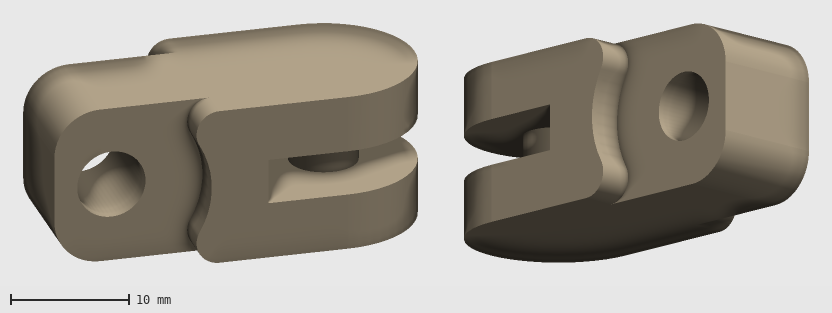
import cadquery as cq
import math

width = 16.0
height = 14.0
pitch = 20.0
fork_radius = width / 2

tongue_width = 10.0
tongue_reach = 5.0
tongue_corner_radius = 4.0
hole_diameter = 6.0

clearance_radius = 8.0
nose_radius = 2.0

slot_height = 4.0
slot_depth = 15.0
pin_diameter = 6.0

fork_end = pitch + fork_radius
half_height = height / 2


def extrude_across(profile, span):
    """Extrude a YZ profile along X, centred on the middle plane."""
    return profile.extrude(span / 2, both=True)


def make_tongue():
    """Central bar from the tongue tip to the pin axis, tip corners rounded."""
    length = tongue_reach + pitch
    return (
        cq.Workplane("XY")
        .box(tongue_width, length, height)
        .translate((0, length / 2 - tongue_reach, 0))
        .edges("|X and <Y")
        .fillet(tongue_corner_radius)
    )


def make_body():
    """Full-width body, round at the fork end, with shoulders curved around the hole axis."""
    nose_z = half_height - nose_radius
    centre_distance = clearance_radius + nose_radius
    nose_y = math.sqrt(centre_distance**2 - nose_z**2)
    tangent_y = nose_y * clearance_radius / centre_distance
    tangent_z = nose_z * clearance_radius / centre_distance
    nose_tip_y = nose_y - nose_radius

    profile = (
        cq.Workplane("YZ")
        .moveTo(pitch, half_height)
        .lineTo(nose_y, half_height)
        .threePointArc((nose_tip_y, nose_z), (tangent_y, tangent_z))
        .threePointArc((clearance_radius, 0), (tangent_y, -tangent_z))
        .threePointArc((nose_tip_y, -nose_z), (nose_y, -half_height))
        .lineTo(pitch, -half_height)
        .close()
    )
    round_end = (
        cq.Workplane("XY", origin=(0, pitch, -half_height))
        .circle(fork_radius)
        .extrude(height)
    )
    return extrude_across(profile, width).union(round_end)


def make_hole():
    return extrude_across(cq.Workplane("YZ").circle(hole_diameter / 2), width)


def make_slot():
    """Gap between the two fork plates, open at the rounded end."""
    return (
        cq.Workplane("XY")
        .box(width, slot_depth, slot_height)
        .translate((0, fork_end - slot_depth / 2, 0))
    )


def make_pin():
    """Upright pin joining the two fork plates."""
    return (
        cq.Workplane("XY", origin=(0, pitch, -half_height))
        .circle(pin_diameter / 2)
        .extrude(height)
    )


link = make_body().union(make_tongue())
result = link.cut(make_slot()).cut(make_hole()).union(make_pin())